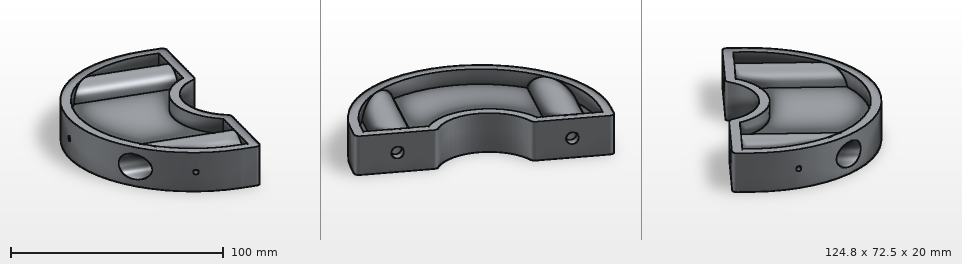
import cadquery as cq
import math

outer_radius = 62.4
back_y = 10.1
height = 20.0
wall = 5.0
floor_thickness = 12.2
corner_radius = 2.5
clearance = 1.2

notch_radius = 25.0
notch_center_offset = 10.0
notch_center_y = back_y + notch_center_offset

tube_x = 42.0
tube_radius = 10.0
bore_diameter = 12.9
bolt_diameter = 6.0
axis_z = height / 2

pin_diameter = 2.5
pin_depth = wall
pin_angles = (-160, -90, -20)


def half_disc(inset, bottom, top):
    """Notched half disc, with every side moved inward by the inset."""
    radius = outer_radius - inset
    back = back_y - inset
    arc_radius = notch_radius + inset
    half_notch = math.sqrt(arc_radius**2 - (notch_center_y - back) ** 2)
    return (
        cq.Workplane("XY", origin=(0, 0, bottom))
        .moveTo(-radius, 0)
        .threePointArc((0, -radius), (radius, 0))
        .lineTo(radius, back)
        .lineTo(half_notch, back)
        .threePointArc((0, notch_center_y - arc_radius), (-half_notch, back))
        .lineTo(-radius, back)
        .close()
        .extrude(top - bottom)
    )


def rod_along_y(x, radius, front, back):
    """Cylinder parallel to Y at mid height."""
    return (
        cq.Workplane("XZ", origin=(x, front, axis_z))
        .circle(radius)
        .extrude(front - back)
    )


back_edges = cq.selectors.BoxSelector(
    (-2 * outer_radius, back_y - clearance, -clearance),
    (2 * outer_radius, back_y + clearance, height + clearance),
)
body = half_disc(0, 0, height).edges("|Z").edges(back_edges).fillet(corner_radius)
pocket = half_disc(wall, floor_thickness, height)
result = body.cut(pocket)

for x in (-tube_x, tube_x):
    tube = rod_along_y(x, tube_radius, -outer_radius, back_y)
    result = result.union(tube.intersect(pocket))

for x in (-tube_x, tube_x):
    result = result.cut(rod_along_y(x, bore_diameter / 2, -outer_radius, back_y - wall))
    result = result.cut(rod_along_y(x, bolt_diameter / 2, -outer_radius, back_y + clearance))

for angle in pin_angles:
    turn = math.radians(angle)
    direction = cq.Vector(math.cos(turn), math.sin(turn), 0)
    start = direction * (outer_radius - pin_depth) + cq.Vector(0, 0, axis_z)
    pin = cq.Solid.makeCylinder(pin_diameter / 2, pin_depth + clearance, start, direction)
    result = result.cut(cq.Workplane(pin))